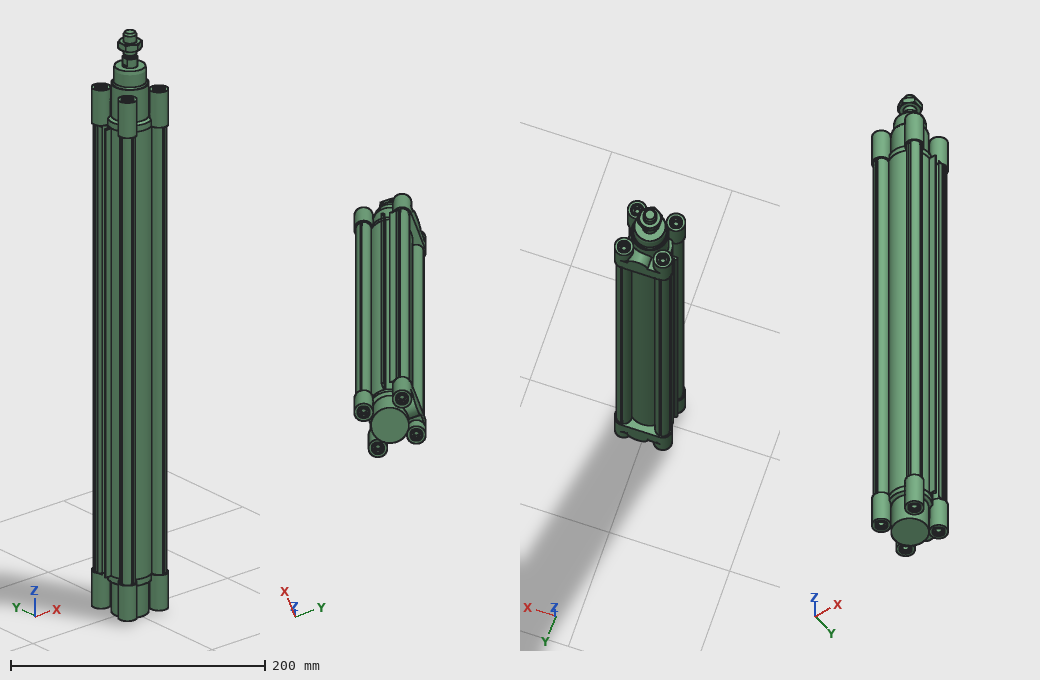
import cadquery as cq
import math

TOTAL_LENGTH = 496.5
POST_BOTTOM = 4.0
TUBE_BOTTOM = 34.5
TUBE_TOP = 418.0
POST_TOP = 448.5
NECK_TOP = 453.0
BOSS_TOP = 467.5
SHOULDER = 475.0

POST_SPACING = 32.5
POST_DIAMETER = 15.0
SCREW_STEPS = (
    (10.0, 1.0),
    (8.0, 2.0),
    (5.0, 6.0),
)

NECK_DIAMETER = 30.0
FLANGE_DIAMETER = 35.5
FLANGE_LENGTH = 5.5
FLANGE_CHAMFER_LENGTH = 1.5
BOSS_DIAMETER = 26.0
BOSS_CHAMFER = 0.75
BOSS_CHAMFER_LENGTH = 3.0
BOSS_FOOT_DIAMETER = 28.0
BOSS_FOOT_LENGTH = 1.5

PORT_DIAMETER = 17.0
PORT_OFFSET = 2.5
PORT_FACE = (POST_SPACING + POST_DIAMETER) / 2
PAD_BACK = 10.0
PORT_HEIGHT = 16.5

BORE_DIAMETER = 32.0
TUBE_DIAMETER = 35.5
LOBE_DIAMETER = 12.5
SLOT_WIDTH = 1.5
SLOT_DEPTH = 2.5
RAIL_REACH = PORT_FACE
RAIL_LIP = 1.5
RAIL_BOTTOM = 1.5
RAIL_TOP = 3.0
LIP_TIP = 4.0
UPPER_LIP_TIP = 8.0
UPPER_RAIL_TOP = 13.5

ROD_DIAMETER = 12.0
ROD_FLATS = 10.5
FLATS_BOTTOM = 469.0
THREAD_DIAMETER = 10.5
TIP_DIAMETER = 8.0
TIP_CHAMFER_LENGTH = 2.0
UNDERCUT_DIAMETER = 9.0
UNDERCUT_LENGTH = 1.5
RUNOUT_LENGTH = 1.5

NUT_FLATS = 17.0
NUT_HEIGHT = 6.0
NUT_BOTTOM = 482.5
NUT_CHAMFER_LENGTH = 0.75

POST_POINTS = [(sx * POST_SPACING / 2, sy * POST_SPACING / 2) for sx in (-1, 1) for sy in (-1, 1)]


def cylinder(diameter, bottom, top, points=((0, 0),)):
    """Upright cylinders between two heights, one at each point."""
    return (
        cq.Workplane("XY", origin=(0, 0, bottom))
        .pushPoints(points)
        .circle(diameter / 2)
        .extrude(top - bottom)
    )


def revolved(profile):
    """Solid of revolution about Z from (radius, height) corners."""
    return cq.Workplane("XZ").polyline(profile).close().revolve(360, (0, 0), (0, 1))


def cap(tube_end, post_end, neck_end):
    """End cap: neck with a flange at the tube, four posts with screw holes, and a port."""
    outward = math.copysign(1, post_end - tube_end)
    flange_end = tube_end + outward * FLANGE_LENGTH
    body = revolved(
        [
            (0, tube_end),
            (FLANGE_DIAMETER / 2, tube_end),
            (FLANGE_DIAMETER / 2, flange_end),
            (NECK_DIAMETER / 2, flange_end + outward * FLANGE_CHAMFER_LENGTH),
            (NECK_DIAMETER / 2, neck_end),
            (0, neck_end),
        ]
    )
    low, high = sorted((tube_end, post_end))
    body = body.union(cylinder(POST_DIAMETER, low, high, POST_POINTS))

    port_axis = tube_end + outward * PORT_HEIGHT
    pad = (
        cq.Workplane("XY")
        .box(POST_SPACING, PORT_FACE - PAD_BACK, PORT_HEIGHT, centered=(True, False, True))
        .translate((0, PAD_BACK, (tube_end + port_axis) / 2))
    )
    port = (
        cq.Workplane("XZ", origin=(PORT_OFFSET, 0, port_axis))
        .circle(PORT_DIAMETER / 2)
        .extrude(-PORT_FACE)
    )
    body = body.union(pad).union(port)

    for diameter, depth in SCREW_STEPS:
        low, high = sorted((post_end, post_end - outward * depth))
        body = body.cut(cylinder(diameter, low, high, POST_POINTS))
    return body


def front_cap():
    """Cap with the guide boss, bored for the rod."""
    boss_radius = BOSS_DIAMETER / 2
    boss = revolved(
        [
            (0, NECK_TOP),
            (BOSS_FOOT_DIAMETER / 2, NECK_TOP),
            (boss_radius, NECK_TOP + BOSS_FOOT_LENGTH),
            (boss_radius, BOSS_TOP - BOSS_CHAMFER_LENGTH),
            (boss_radius - BOSS_CHAMFER, BOSS_TOP),
            (0, BOSS_TOP),
        ]
    )
    rod_hole = cylinder(ROD_DIAMETER, TUBE_TOP, BOSS_TOP)
    return cap(TUBE_TOP, POST_TOP, NECK_TOP).union(boss).cut(rod_hole)


def sensor_rails():
    """Two rails on the -X side whose facing lips form the mouth of a sensor slot."""
    outer = -RAIL_REACH
    inner = -(TUBE_DIAMETER + BORE_DIAMETER) / 4
    lip_back = outer + 2 * RAIL_LIP
    lower = (
        cq.Workplane("XY", origin=(0, 0, TUBE_BOTTOM))
        .polyline(
            [
                (inner, RAIL_BOTTOM),
                (outer, RAIL_BOTTOM),
                (outer, RAIL_TOP),
                (outer + RAIL_LIP, LIP_TIP),
                (lip_back, RAIL_TOP),
                (inner, RAIL_TOP),
            ]
        )
        .close()
        .extrude(TUBE_TOP - TUBE_BOTTOM)
    )
    upper = (
        cq.Workplane("XY", origin=(0, 0, TUBE_BOTTOM))
        .polyline(
            [
                (outer + RAIL_LIP, UPPER_LIP_TIP),
                (lip_back, UPPER_RAIL_TOP),
                (outer + RAIL_LIP, UPPER_RAIL_TOP),
            ]
        )
        .close()
        .extrude(TUBE_TOP - TUBE_BOTTOM)
    )
    return lower.union(upper)


def tube():
    """Profile tube: round barrel, four slotted corner lobes and hooked rails on both X sides."""
    body = cylinder(TUBE_DIAMETER, TUBE_BOTTOM, TUBE_TOP)
    body = body.union(cylinder(LOBE_DIAMETER, TUBE_BOTTOM, TUBE_TOP, POST_POINTS))
    rails = sensor_rails()
    body = body.union(rails).union(rails.mirror("YZ"))
    lobe_reach = (POST_SPACING + LOBE_DIAMETER) / 2
    length = TUBE_TOP - TUBE_BOTTOM
    for x, y in POST_POINTS:
        side_x = math.copysign(lobe_reach, x)
        side_y = math.copysign(lobe_reach, y)
        slots = cq.Workplane("XY", origin=(0, 0, TUBE_BOTTOM))
        body = body.cut(slots.center(side_x, y).rect(2 * SLOT_DEPTH, SLOT_WIDTH).extrude(length))
        body = body.cut(slots.center(x, side_y).rect(SLOT_WIDTH, 2 * SLOT_DEPTH).extrude(length))
    return body.cut(cylinder(BORE_DIAMETER, TUBE_BOTTOM, TUBE_TOP))


def piston_rod():
    """Rod with wrench flats, thread undercut and a chamfered threaded end."""
    rod_radius = ROD_DIAMETER / 2
    thread_radius = THREAD_DIAMETER / 2
    undercut_top = SHOULDER + UNDERCUT_LENGTH
    rod = revolved(
        [
            (0, TUBE_BOTTOM),
            (rod_radius, TUBE_BOTTOM),
            (rod_radius, SHOULDER),
            (UNDERCUT_DIAMETER / 2, SHOULDER),
            (UNDERCUT_DIAMETER / 2, undercut_top),
            (thread_radius, undercut_top + RUNOUT_LENGTH),
            (thread_radius, TOTAL_LENGTH - TIP_CHAMFER_LENGTH),
            (TIP_DIAMETER / 2, TOTAL_LENGTH),
            (0, TOTAL_LENGTH),
        ]
    )
    flat_band = cylinder(ROD_DIAMETER, FLATS_BOTTOM, SHOULDER)
    kept_core = cq.Workplane("XY", origin=(0, 0, FLATS_BOTTOM)).rect(ROD_FLATS, ROD_DIAMETER)
    return rod.cut(flat_band.cut(kept_core.extrude(SHOULDER - FLATS_BOTTOM)))


def lock_nut():
    """Hexagon nut with flats facing X and both ends chamfered, on the rod thread."""
    corner_diameter = NUT_FLATS / math.cos(math.pi / 6)
    hexagon = (
        cq.Workplane("XY", origin=(0, 0, NUT_BOTTOM))
        .transformed(rotate=(0, 0, 30))
        .polygon(6, corner_diameter)
        .extrude(NUT_HEIGHT)
    )
    nut_top = NUT_BOTTOM + NUT_HEIGHT
    envelope = revolved(
        [
            (0, NUT_BOTTOM),
            (NUT_FLATS / 2, NUT_BOTTOM),
            (corner_diameter / 2, NUT_BOTTOM + NUT_CHAMFER_LENGTH),
            (corner_diameter / 2, nut_top - NUT_CHAMFER_LENGTH),
            (NUT_FLATS / 2, nut_top),
            (0, nut_top),
        ]
    )
    return hexagon.intersect(envelope).cut(cylinder(THREAD_DIAMETER, NUT_BOTTOM, nut_top))


front = front_cap()
rear = cap(TUBE_BOTTOM, POST_BOTTOM, 0.0)
barrel = tube()
rod = piston_rod()
nut = lock_nut()

result = cq.Compound.makeCompound([front.val(), rear.val(), barrel.val(), rod.val(), nut.val()])